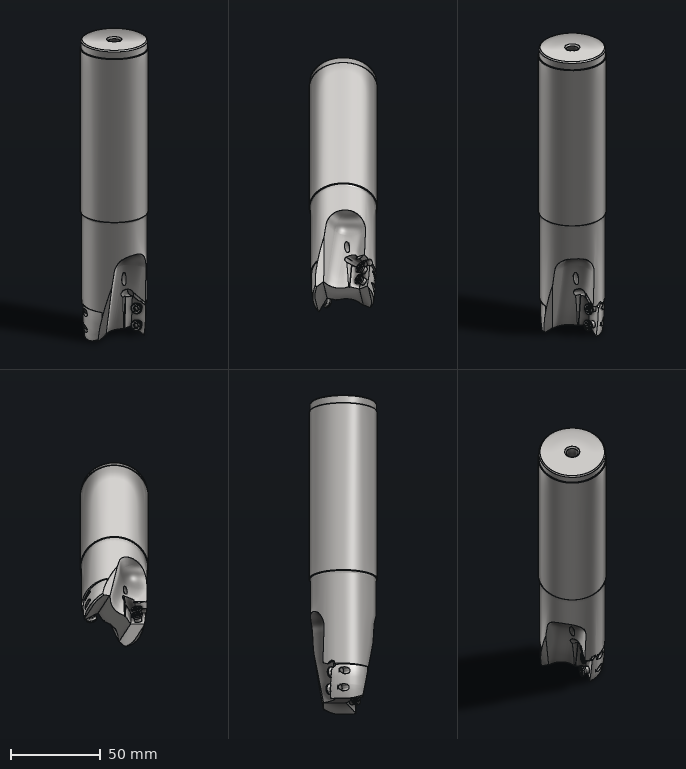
import cadquery as cq
import math


total_length = 175.52
shank_radius = 38.1 / 2
end_band_radius = 18.65
end_band_length = 4.7
end_chamfer = 0.7
step_chamfer = 0.4
shank_bottom = 73.4
neck_radius = 18.3
neck_step = 1.1
seam_angle = 90

bore_radius = 3.3
bore_chamfer = 0.9
bore_bottom = 57.0
branch_radius = 1.4
branch_start = cq.Vector(0, 0, 59)
branch_exit = cq.Vector(6.6, -2.3, 35.5)
branch_overrun = 1.35

tooth_count = 2
reach = 45.0

flute_corner = (3.7, 1.9, 40.6)
flute_direction = (0.14, 0.04, 1)
flute_floor_angle = 8.0
flute_radius = 10.5
flute_top = 54.1

facet_point = (5.0, -17.6, 33.0)
facet_edge_point = (1.9, -14.5, 10.6)
facet_land_point = (-1.2, -18.1, 10.6)

land_top = 19.4
land_step_rise = 0.5
land_offset = 0.8
land_top_radius = 18.1
land_middle_radius = 18.25
land_end_radius = 17.45

gash_height = 4.7
end_corner = (16.6, 4.8, 0)
end_slope_x = 0.58
end_slope_y = 0.55

heel_flat = 13.0
heel_height = 6.0

seat_offset = 4.8
seat_lean = 0.08
seat_depth = 5.3
seat_draft = 19.0
seat_inner_x = 8.2
seat_inner_top = 25.4
seat_top_slope = -0.67
clearance_x = 5.9
groove_radius = 1.9
relief_hole_radius = 2.9
relief_hole_position = (8.2, 25.0)

screw_positions = [(12.6, 6.6), (12.35, 16.4)]
screw_radius = 2.0
screw_depth = 3.5
head_radius = 3.05
head_tip = 4.6
head_rim = 1.2
head_cone = 1.4
head_chamfer = 0.4
socket_core_radius = 1.3
socket_lobe_radius = 0.45
socket_lobes = 6
socket_depth = 1.8

seat_plane = cq.Plane(origin=(0, seat_offset, 0), xDir=(1, 0, 0), normal=(0, -1, seat_lean))


def make_blank():
    """Turned shank and neck with the axial coolant bore."""
    band_bottom = total_length - end_band_length
    step = shank_radius - end_band_radius
    blank = (
        cq.Workplane("XZ")
        .moveTo(0, 0)
        .lineTo(neck_radius, 0)
        .lineTo(neck_radius, shank_bottom - neck_step)
        .lineTo(shank_radius - step_chamfer, shank_bottom)
        .lineTo(shank_radius, shank_bottom + step_chamfer)
        .lineTo(shank_radius, band_bottom - step)
        .lineTo(end_band_radius, band_bottom)
        .lineTo(end_band_radius, total_length - end_chamfer)
        .lineTo(end_band_radius - end_chamfer, total_length)
        .lineTo(0, total_length)
        .close()
        .revolve(360, (0, 0), (0, 1))
        .rotate((0, 0, 0), (0, 0, 1), seam_angle)
    )
    bore = (
        cq.Workplane("XY", origin=(0, 0, bore_bottom))
        .circle(bore_radius)
        .extrude(total_length - bore_bottom)
    )
    bored = blank.cut(bore)
    bore_mouth = bored.faces(">Z").edges(cq.selectors.RadiusNthSelector(0))
    return bore_mouth.chamfer(bore_chamfer)


def make_branch():
    """Slanted coolant hole from the bore to the flute."""
    path = branch_exit - branch_start
    plane = cq.Plane(origin=branch_start.toTuple(), normal=path.toTuple())
    return cq.Workplane(plane).circle(branch_radius).extrude(path.Length * branch_overrun)


def make_flute():
    """Chip flute: flat floor and back wall, all inner edges rounded by the cutter."""
    lean = math.tan(math.radians(flute_floor_angle))
    plane = cq.Plane(origin=flute_corner, xDir=(1, 0, -flute_direction[0]), normal=flute_direction)
    top = flute_top - flute_corner[2]
    flute = (
        cq.Workplane(plane)
        .workplane(offset=top)
        .polyline([(0, 0), (reach, 0), (reach, -reach), (reach * lean, -reach)])
        .close()
        .extrude(-(flute_top + reach))
    )
    inner = plane.toWorldCoords((0, 0, top))
    edges = [
        edge for edge in flute.edges().vals()
        if any((vertex.Center() - inner).Length < 0.01 for vertex in edge.Vertices())
    ]
    return flute.newObject(edges).fillet(flute_radius)


def make_facet():
    """Volume beyond the second facet, kept to the open side of the flute."""
    corner = cq.Vector(*facet_point)
    along = cq.Vector(*facet_edge_point) - corner
    across = cq.Vector(*facet_land_point) - corner
    normal = along.cross(across)
    if normal.x < 0:
        normal = normal * -1
    plane = cq.Plane(origin=facet_point, xDir=along.toTuple(), normal=normal.toTuple())
    beyond = cq.Workplane(plane).rect(2 * reach, 2 * reach).extrude(reach)
    front = (
        cq.Workplane("XY")
        .box(2 * reach, reach, 2 * flute_top)
        .translate((0, -reach / 2 - neck_radius / 2, 0))
    )
    return beyond.intersect(front)


def make_land_relief():
    """Shell outside the eccentric, slightly barrelled land of the tooth."""
    flare = 2 * land_offset
    flare_top = land_top + flare * land_step_rise
    kept = (
        cq.Workplane("XZ")
        .lineTo(land_end_radius, 0)
        .threePointArc((land_middle_radius, land_top / 2), (land_top_radius, land_top))
        .lineTo(land_top_radius + flare, flare_top)
        .lineTo(0, flare_top)
        .close()
        .revolve(360, (0, 0), (0, 1))
        .translate((-land_offset, 0, 0))
    )
    quarter = cq.Workplane("XY").rect(reach, reach, centered=False).extrude(flare_top)
    return quarter.cut(kept)


def make_heel_rounding():
    """Corner removed along X so that the end face runs out round at the heel."""
    return (
        cq.Workplane("YZ")
        .moveTo(heel_flat, 0)
        .ellipseArc(neck_radius - heel_flat, heel_height, 270, 360)
        .lineTo(neck_radius, 0)
        .close()
        .extrude(reach / 2, both=True)
    )


def make_end_gash():
    """Dished end face: flat in the middle, sloping down to the outer corner of the tooth."""
    half = (
        cq.Workplane("XY")
        .box(2 * reach, reach, 2 * gash_height, centered=(True, False, True))
    )
    plane = cq.Plane(origin=end_corner, normal=(end_slope_x, end_slope_y, 1))
    below = cq.Workplane(plane).rect(4 * reach, 4 * reach).extrude(-2 * reach)
    return half.intersect(below)


def seat_outline(inner_x):
    """Seat outline, open outwards and downwards, with its slanted top edge."""
    def top(x):
        return seat_inner_top + seat_top_slope * (x - seat_inner_x)

    return [(inner_x, -reach), (inner_x, top(inner_x)), (reach, top(reach)), (reach, -reach)]


def make_pocket():
    """Insert pocket: drafted seat recess, clearance above it, corner relief and screw holes."""
    seat = (
        cq.Workplane(seat_plane).polyline(seat_outline(seat_inner_x)).close()
        .extrude(seat_depth, taper=-seat_draft)
    )
    clearance = (
        cq.Workplane(seat_plane).workplane(offset=seat_depth)
        .polyline(seat_outline(clearance_x)).close()
        .extrude(reach)
    )
    relief = (
        cq.Workplane(seat_plane).center(*relief_hole_position)
        .circle(relief_hole_radius).extrude(reach)
    )
    groove_plane = cq.Plane(
        origin=seat_plane.toWorldCoords((seat_inner_x, seat_inner_top)).toTuple(),
        normal=(1, seat_lean * seat_top_slope, seat_top_slope),
    )
    groove = (
        cq.Workplane(groove_plane).workplane(offset=relief_hole_radius)
        .circle(groove_radius).extrude(reach)
    )
    holes = (
        cq.Workplane(seat_plane).pushPoints(screw_positions)
        .circle(screw_radius).extrude(-reach)
    )
    return [seat, clearance, relief, groove, holes]


def make_screw(position):
    """Clamp screw standing in the seat, with a conical head and a lobed socket."""
    cone_top = head_tip - head_rim
    screw = (
        cq.Workplane("XZ")
        .moveTo(0, -screw_depth)
        .lineTo(screw_radius, -screw_depth)
        .lineTo(screw_radius, cone_top - head_cone)
        .lineTo(head_radius, cone_top)
        .lineTo(head_radius, head_tip - head_chamfer)
        .lineTo(head_radius - head_chamfer, head_tip)
        .lineTo(0, head_tip)
        .close()
        .revolve(360, (0, 0), (0, 1))
    )
    top = cq.Workplane("XY", origin=(0, 0, head_tip))
    core = top.circle(socket_core_radius).extrude(-socket_depth)
    lobes = (
        top.polarArray(socket_core_radius, 0, 360, socket_lobes)
        .circle(socket_lobe_radius).extrude(-socket_depth)
    )
    screw = screw.cut(core.union(lobes))
    location = cq.Location(seat_plane) * cq.Location(cq.Vector(*position, 0))
    return screw.val().moved(location)


def turned(shape, tooth):
    """Copy of a shape turned from tooth 1 to the given tooth."""
    return shape.rotate((0, 0, 0), (0, 0, 1), tooth * 360 / tooth_count)


cutter_body = make_blank()
tooth_cuts = [
    make_branch(),
    make_flute(),
    make_facet(),
    make_land_relief(),
    make_end_gash(),
    make_heel_rounding(),
    *make_pocket(),
]
for tooth in range(tooth_count):
    for cut in tooth_cuts:
        cutter_body = cutter_body.cut(turned(cut, tooth))

screws = [
    turned(make_screw(position), tooth)
    for tooth in range(tooth_count)
    for position in screw_positions
]

result = cq.Compound.makeCompound([cutter_body.val(), *screws])